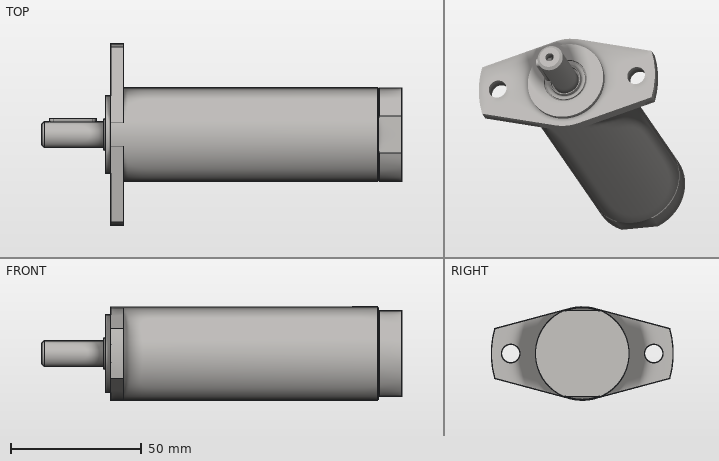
import cadquery as cq
import math

overall_length = 138.5
pilot_face = 24.5
pilot_height = 2.0
flange_face = pilot_face + pilot_height
flange_thickness = 5.0
cap_joint = 129.5

body_diameter = 36.0
body_radius = body_diameter / 2
joint_chamfer = 0.4
cap_across_flats = 33.0

flange_span = 70.0
flange_edge_angle = math.radians(15)
mounting_hole_spacing = 55.0
mounting_hole_diameter = 7.0
pilot_diameter = 30.0

shaft_diameter = 10.0
shaft_tip_chamfer = 1.0
shaft_hole_diameter = 3.24
shaft_hole_depth = 10.0
drill_tip_half_angle = math.radians(59)

key_width = 3.0
key_length = 18.0
key_start = 3.0
key_top = 6.2

recess_diameter = 17.0
recess_depth = 1.0
seal_outer_diameter = 15.5
seal_ring_inner_diameter = 13.7
seal_ring_depth = 0.2
seal_groove_diameter = 12.4
seal_groove_depth = 0.7
lip_outer_diameter = 11.95
lip_bore_diameter = 11.45
lip_protrusion = 0.8


def cylinder(diameter, start, end):
    """Solid cylinder on the X axis between two axial stations."""
    return cq.Workplane("YZ", origin=(start, 0, 0)).circle(diameter / 2).extrude(end - start)


def revolved(profile):
    """Revolve a closed (x, radius) profile about the X axis."""
    return cq.Workplane("XY").polyline(profile).close().revolve(360, (0, 0, 0), (1, 0, 0))


def make_body():
    """Barrel and an end cap with two wrench flats; chamfers form a V groove at their joint."""
    barrel = cylinder(body_diameter, flange_face, cap_joint).faces(">X").chamfer(joint_chamfer)
    cap = cylinder(body_diameter, cap_joint, overall_length).faces("<X").chamfer(joint_chamfer)
    flats = (
        cq.Workplane("XY", origin=(cap_joint, 0, 0))
        .box(overall_length - cap_joint, body_diameter, cap_across_flats, centered=(False, True, True))
    )
    return barrel.union(cap.intersect(flats))


def make_flange():
    """Lugs whose straight edges run tangent to the barrel, which rounds the middle."""
    end_radius = flange_span / 2
    corner_angle = flange_edge_angle + math.acos(body_radius / end_radius)
    tangent_y = body_radius * math.sin(flange_edge_angle)
    tangent_z = body_radius * math.cos(flange_edge_angle)
    corner_y = end_radius * math.sin(corner_angle)
    corner_z = end_radius * math.cos(corner_angle)
    plate = (
        cq.Workplane("YZ", origin=(flange_face, 0, 0))
        .moveTo(-tangent_y, tangent_z)
        .lineTo(tangent_y, tangent_z)
        .lineTo(corner_y, corner_z)
        .threePointArc((end_radius, 0), (corner_y, -corner_z))
        .lineTo(tangent_y, -tangent_z)
        .lineTo(-tangent_y, -tangent_z)
        .lineTo(-corner_y, -corner_z)
        .threePointArc((-end_radius, 0), (-corner_y, corner_z))
        .close()
        .extrude(flange_thickness)
    )
    holes = (
        cq.Workplane("YZ", origin=(flange_face, 0, 0))
        .pushPoints([(side * mounting_hole_spacing / 2, 0) for side in (-1, 1)])
        .circle(mounting_hole_diameter / 2)
        .extrude(flange_thickness)
    )
    return plate.cut(holes)


def make_pilot():
    pilot = cylinder(pilot_diameter, pilot_face, flange_face)
    return pilot.cut(cylinder(recess_diameter, pilot_face, pilot_face + recess_depth))


def make_seal():
    recess_floor = pilot_face + recess_depth
    lip_tip = pilot_face - lip_protrusion
    ring_face = pilot_face + seal_ring_depth
    groove_floor = pilot_face + seal_groove_depth
    return revolved([
        (lip_tip, lip_bore_diameter / 2),
        (lip_tip, lip_outer_diameter / 2),
        (groove_floor, seal_groove_diameter / 2),
        (ring_face, seal_ring_inner_diameter / 2),
        (ring_face, seal_outer_diameter / 2),
        (recess_floor, seal_outer_diameter / 2),
        (recess_floor, lip_bore_diameter / 2),
    ])


def make_shaft():
    """Shaft with a chamfered tip and a blind drilled hole in its end."""
    tip_radius = shaft_diameter / 2 - shaft_tip_chamfer
    hole_radius = shaft_hole_diameter / 2
    hole_tip = shaft_hole_depth + hole_radius / math.tan(drill_tip_half_angle)
    return revolved([
        (hole_tip, 0),
        (shaft_hole_depth, hole_radius),
        (0, hole_radius),
        (0, tip_radius),
        (shaft_tip_chamfer, shaft_diameter / 2),
        (flange_face, shaft_diameter / 2),
        (flange_face, 0),
    ])


def make_key():
    return (
        cq.Workplane("XZ")
        .center(key_start + key_length / 2, 0)
        .slot2D(key_length, key_width)
        .extrude(-key_top)
    )


result = (
    make_body()
    .union(make_flange())
    .union(make_pilot())
    .union(make_seal())
    .union(make_shaft())
    .union(make_key())
)